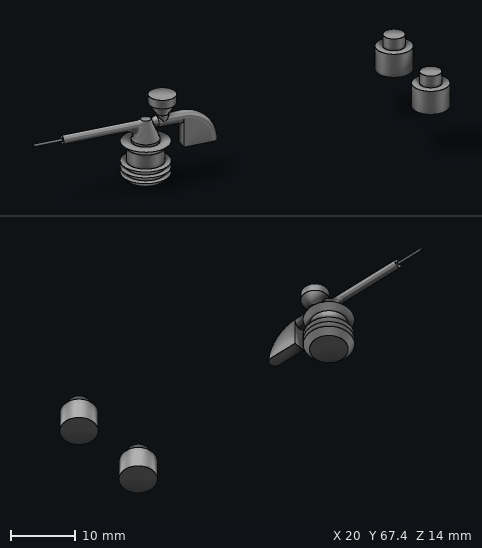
import cadquery as cq
import math

shank_radius = 3.0
rib_height = 1.0
rib_count = 3
rib_radius = shank_radius + rib_height
flange_top = 6.5

collar_radius = 2.26
collar_height = 0.4
cone_top_radius = 0.9
tube_axis_z = 9.5
tube_radius = 0.75
tube_length = 14.2
cone_top = tube_axis_z + tube_radius + 0.1
blend_radius = 1.2

arm_radius = 1.0
arm_start_y = 1.8
grip_start_y = 6.1
grip_radius = 6.0
tip_length = 1.5
tip_end_y = arm_start_y - tip_length
cup_y = 2.8
cup_radius = 2.26
neck_radius = arm_radius - 0.01
neck_top = 10.7
cup_bottom = 12.55
cup_top = 14.0

needle_radius = 0.25
needle_end_y = -19.115

knob_spacing = 14.0
knob_y = 45.3
knob_radius = 3.0
knob_height = 4.05
stem_radius = 1.75
stem_height = 2.0
flat_width = 0.3
flat_angle = -34.0


def rod(radius, y_start, y_end):
    """A horizontal cylinder on the tube axis, from y_start towards -Y."""
    return (
        cq.Workplane("XZ", origin=(0, y_start, tube_axis_z))
        .circle(radius)
        .extrude(y_start - y_end)
    )


def turned(profile, y=0):
    """Revolve an (r, z) profile about the vertical line at x = 0 and the given y."""
    return (
        cq.Workplane("XZ", origin=(0, y, 0))
        .polyline(profile)
        .close()
        .revolve(360, (0, 0), (0, 1))
    )


def make_plug():
    profile = [(0, 0)]
    for i in range(rib_count):
        profile.append((shank_radius, i * rib_height))
        profile.append((rib_radius, (i + 1) * rib_height))
    profile += [
        (shank_radius, rib_count * rib_height),
        (shank_radius, flange_top - rib_height),
        (rib_radius, flange_top),
        (0, flange_top),
    ]
    return turned(profile)


def make_nozzle():
    cone = turned([
        (0, flange_top),
        (collar_radius, flange_top),
        (collar_radius, flange_top + collar_height),
        (cone_top_radius, cone_top),
        (0, cone_top),
    ])
    nozzle = cone.union(rod(tube_radius, 0, -tube_length))
    margin = 0.035
    joint = cq.selectors.BoxSelector(
        (-tube_radius - margin, -collar_radius, tube_axis_z - tube_radius - margin),
        (tube_radius + margin, 0, tube_axis_z + tube_radius + margin),
        boundingbox=True,
    )
    return nozzle.edges(joint).fillet(blend_radius)


def make_tip():
    """The cone that narrows from the arm to the needle."""
    return (
        cq.Workplane("YZ", origin=(0, 0, tube_axis_z))
        .polyline([
            (arm_start_y, 0),
            (arm_start_y, arm_radius),
            (tip_end_y, needle_radius),
            (tip_end_y, 0),
        ])
        .close()
        .revolve(360, (0, 0), (1, 0))
    )


def make_grip():
    """A quarter disc as thick as the arm, with a rounded rim that continues the arm."""
    rim_start = grip_radius - arm_radius
    grip_bottom = tube_axis_z - rim_start
    return (
        cq.Workplane("XZ", origin=(0, grip_start_y, grip_bottom))
        .moveTo(-arm_radius, 0)
        .lineTo(-arm_radius, rim_start)
        .threePointArc((0, grip_radius), (arm_radius, rim_start))
        .lineTo(arm_radius, 0)
        .close()
        .revolve(90, (0, 0), (-1, 0))
    )


def make_cup():
    return turned(
        [
            (0, tube_axis_z),
            (neck_radius, tube_axis_z),
            (neck_radius, neck_top),
            (cup_radius, cup_bottom),
            (cup_radius, cup_top),
            (0, cup_top),
        ],
        cup_y,
    )


def make_handle():
    arm = rod(arm_radius, grip_start_y, arm_start_y)
    return arm.union(make_grip()).union(make_cup()).union(make_tip())


def make_needle():
    return rod(needle_radius, tip_end_y, needle_end_y)


def make_knob(side):
    """One knob; side is -1 for the -X knob and 1 for the +X knob."""
    half_angle = math.asin(flat_width / 2 / knob_radius)

    def rim_point(offset):
        angle = math.radians(flat_angle) + offset
        return (-side * knob_radius * math.cos(angle), knob_radius * math.sin(angle))

    base = cq.Workplane("XY", origin=(side * knob_spacing / 2, knob_y, flange_top))
    body = (
        base.moveTo(*rim_point(half_angle))
        .threePointArc(rim_point(math.pi), rim_point(-half_angle))
        .close()
        .extrude(knob_height)
    )
    stem = base.workplane(offset=knob_height).circle(stem_radius).extrude(stem_height)
    return body.union(stem)


handle = make_handle()
needle = make_needle()
housing = make_plug().union(make_nozzle()).cut(handle).cut(needle)
knobs = [make_knob(side) for side in (-1, 1)]

result = cq.Compound.makeCompound([
    housing.val(),
    handle.val(),
    needle.val(),
    *[knob.val() for knob in knobs],
])